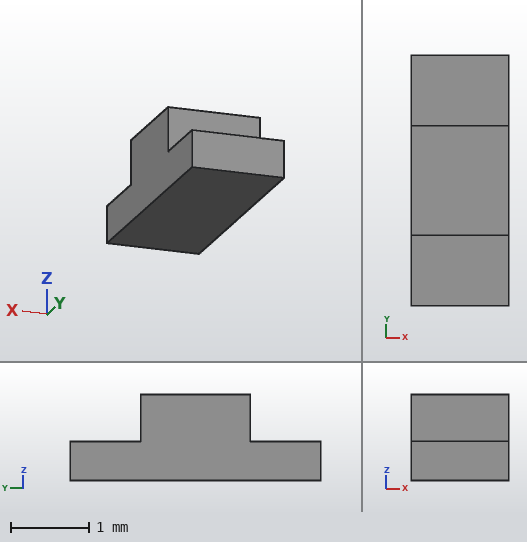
import cadquery as cq

width = 1.25
base_length = 3.2
block_length = 1.4
base_height = 0.5
total_height = 1.1


def centred_box(length, height):
    """Full-width box centred on X and Y, standing on Z = 0."""
    return cq.Workplane("XY").box(width, length, height, centered=(True, True, False))


base = centred_box(base_length, base_height)
raised_block = centred_box(block_length, total_height)

result = base.union(raised_block)